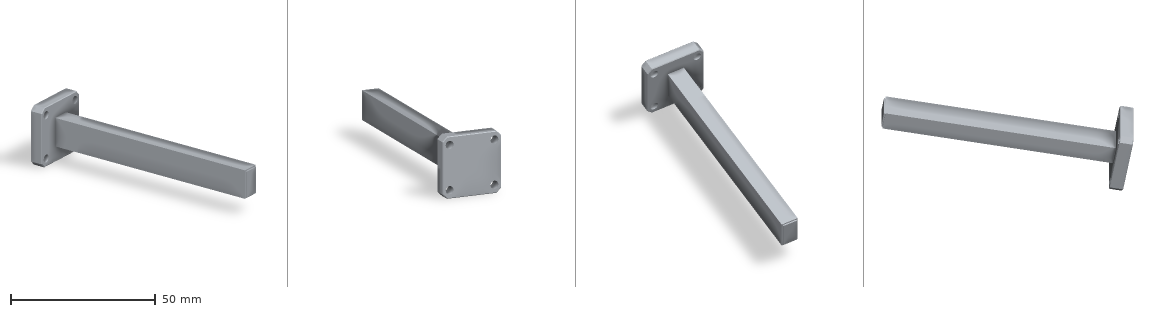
import cadquery as cq

total_length = 86.36

flange_size = 22.35
flange_thickness = 4.75
corner_cut = 1.75
rim_chamfer = 0.25

hole_diameter = 2.95
hole_spacing_y = 17.02
hole_spacing_z = 16.26

opening_width_y = 4.32
opening_height_z = 8.64

wall = 1.02
tube_width_y = opening_width_y + 2 * wall
tube_height_z = opening_height_z + 2 * wall

cap_thickness = 0.5
cap_inset = 0.5


def block_along_x(start_x, end_x, width_y, height_z):
    """Rectangular block centred on the X axis."""
    section = cq.Workplane("YZ", origin=(start_x, 0, 0)).rect(width_y, height_z)
    return section.extrude(end_x - start_x)


def make_flange():
    """Square plate with cut corners, a fine chamfer on both rims and four holes."""
    plate = block_along_x(0, flange_thickness, flange_size, flange_size)
    plate = plate.edges("|X").chamfer(corner_cut)
    plate = plate.faces("<X or >X").chamfer(rim_chamfer)
    holes = (
        cq.Workplane("YZ")
        .rarray(hole_spacing_y, hole_spacing_z, 2, 2)
        .circle(hole_diameter / 2)
        .extrude(flange_thickness)
    )
    return plate.cut(holes)


tube_end = total_length - cap_thickness
flange = make_flange()
tube = block_along_x(flange_thickness, tube_end, tube_width_y, tube_height_z)
cap = block_along_x(tube_end, total_length, tube_width_y - 2 * cap_inset, tube_height_z - 2 * cap_inset)

filling = block_along_x(0, flange_thickness, opening_width_y, opening_height_z)
result = flange.cut(filling).union(tube).union(cap).union(filling, clean=False)